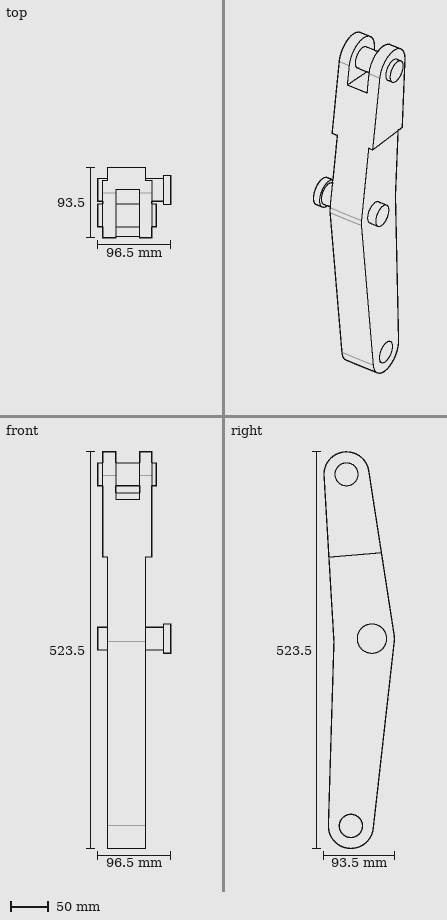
import cadquery as cq
import math

LOWER_PIVOT = (0.0, 0.0)
MIDDLE_PIVOT = (27.5, 247.0)
UPPER_PIVOT = (-6.0, 463.5)
FRONT_BEND = (-22.5, 243.0)

END_RADIUS = 30.0
PIN_RADIUS = 15.0
HEAD_RADIUS = 19.5

ARM_X = (-25.0, 25.0)
FORK_X = (-31.5, 33.5)
SLOT_X = (-14.0, 17.0)
UPPER_PIN_X = (-38.0, 39.0)
MIDDLE_PIN_X = (-38.0, 58.5)
HEAD_THICKNESS = 10.0

SHOULDER_DROP = 107.0
SHOULDER_TILT = 4.8
SLOT_DROP = 29.5
SLOT_TILT = 8.3
CUTTER_SIZE = 314.0


def polar(center, radius, angle):
    return (center[0] + radius * math.cos(angle), center[1] + radius * math.sin(angle))


def back_normal(lower, upper):
    """Angle of the +Y side normal of the line joining two pivots."""
    return math.atan2(upper[1] - lower[1], upper[0] - lower[0]) - math.pi / 2


def bend_tangent(center, side):
    """Angle about a pivot where the line from the front bend touches its rounding."""
    dy = FRONT_BEND[0] - center[0]
    dz = FRONT_BEND[1] - center[1]
    return math.atan2(dz, dy) + side * math.acos(END_RADIUS / math.hypot(dy, dz))


def extrude_x(sketch, x_range):
    start, end = x_range
    return sketch.extrude(end - start).translate((start, 0, 0))


def cylinder(center, radius, x_range):
    return extrude_x(cq.Workplane("YZ").center(*center).circle(radius), x_range)


def profile():
    """Bent arm outline: rounded at the pivots, with a sharp corner at the front bend."""
    def rim(center, angle):
        return polar(center, END_RADIUS, angle)

    lower_back = back_normal(LOWER_PIVOT, MIDDLE_PIVOT)
    upper_back = back_normal(MIDDLE_PIVOT, UPPER_PIVOT)
    lower_front = bend_tangent(LOWER_PIVOT, 1)
    upper_front = bend_tangent(UPPER_PIVOT, -1)
    return (
        cq.Workplane("YZ")
        .moveTo(*FRONT_BEND)
        .lineTo(*rim(LOWER_PIVOT, lower_front))
        .threePointArc(rim(LOWER_PIVOT, -math.pi / 2), rim(LOWER_PIVOT, lower_back))
        .lineTo(*rim(MIDDLE_PIVOT, lower_back))
        .threePointArc(rim(MIDDLE_PIVOT, (lower_back + upper_back) / 2), rim(MIDDLE_PIVOT, upper_back))
        .lineTo(*rim(UPPER_PIVOT, upper_back))
        .threePointArc(rim(UPPER_PIVOT, math.pi / 2), rim(UPPER_PIVOT, upper_front))
        .close()
    )


def region_above(drop, tilt, x_range):
    """Block whose tilted floor passes the given distance below the upper pivot."""
    start, end = x_range
    floor_y = UPPER_PIVOT[0]
    floor_z = UPPER_PIVOT[1] - drop
    block = cq.Workplane("XY").box(end - start, CUTTER_SIZE, CUTTER_SIZE, centered=(False, True, False))
    return block.rotate((0, 0, 0), (1, 0, 0), tilt).translate((start, floor_y, floor_z))


arm = extrude_x(profile(), ARM_X)
fork = extrude_x(profile(), FORK_X).intersect(region_above(SHOULDER_DROP, SHOULDER_TILT, FORK_X))
body = arm.union(fork)
body = body.cut(region_above(SLOT_DROP, SLOT_TILT, SLOT_X))
body = body.cut(cylinder(LOWER_PIVOT, PIN_RADIUS, ARM_X))

upper_pin = cylinder(UPPER_PIVOT, PIN_RADIUS, UPPER_PIN_X)
middle_pin = cylinder(MIDDLE_PIVOT, PIN_RADIUS, MIDDLE_PIN_X)
head_end = MIDDLE_PIN_X[1]
pin_head = cylinder(MIDDLE_PIVOT, HEAD_RADIUS, (head_end - HEAD_THICKNESS, head_end))

result = body.union(upper_pin).union(middle_pin).union(pin_head)